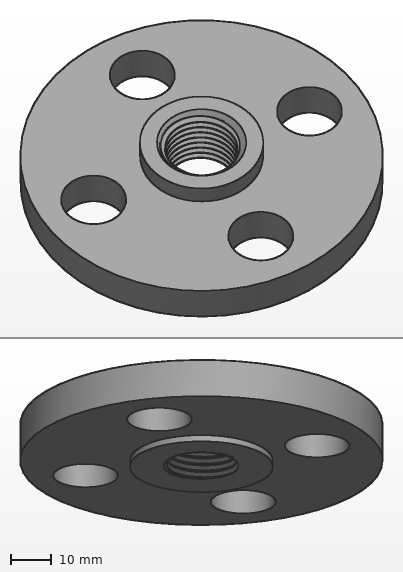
import cadquery as cq
import math

flange_diameter = 88.9
flange_thickness = 9.5
raised_face_diameter = 35.0
raised_face_height = 1.6
hub_diameter = 30.2
hub_height = 4.8
total_height = raised_face_height + flange_thickness + hub_height

bolt_hole_diameter = 15.9
bolt_circle_diameter = 60.4
bolt_count = 4

bore_bottom_diameter = 17.0
taper_on_diameter = 1 / 16
taper_on_radius = taper_on_diameter / 2
pitch = 1.81
groove_depth = 1.3
groove_mouth = 1.6
groove_root = 0.2
groove_lead_in = 2.8
groove_overlap = 0.1

countersink_diameter = 21.9
countersink_depth = 1.9
countersink_bottom_diameter = countersink_diameter - 2 * countersink_depth


def disc(diameter, height, base_z):
    return cq.Workplane("XY", origin=(0, 0, base_z)).circle(diameter / 2).extrude(height)


def bore_radius(z):
    return bore_bottom_diameter / 2 + z * taper_on_radius


def cone(bottom_diameter, top_diameter, bottom_z, top_z):
    return (
        cq.Workplane("XZ")
        .moveTo(0, bottom_z)
        .lineTo(bottom_diameter / 2, bottom_z)
        .lineTo(top_diameter / 2, top_z)
        .lineTo(0, top_z)
        .close()
        .revolve(360, (0, 0, 0), (0, 1, 0))
    )


def thread_groove():
    """Helical V groove that runs out past both ends of the bore."""
    start_z = -groove_lead_in
    start_radius = bore_radius(start_z)
    helix = cq.Wire.makeHelix(
        pitch,
        total_height + groove_lead_in + pitch,
        start_radius,
        center=cq.Vector(0, 0, start_z),
        angle=math.degrees(math.atan(taper_on_radius)),
    )
    inner = start_radius - groove_overlap
    outer = start_radius + groove_depth
    profile = cq.Workplane("XZ").polyline([
        (inner, start_z - groove_mouth / 2),
        (start_radius, start_z - groove_mouth / 2),
        (outer, start_z - groove_root / 2),
        (outer, start_z + groove_root / 2),
        (start_radius, start_z + groove_mouth / 2),
        (inner, start_z + groove_mouth / 2),
    ]).close()
    return profile.sweep(cq.Workplane(obj=helix), isFrenet=True)


flange_top = raised_face_height + flange_thickness
body = disc(raised_face_diameter, raised_face_height, 0)
body = body.union(disc(flange_diameter, flange_thickness, raised_face_height))
body = body.union(disc(hub_diameter, hub_height, flange_top))

bolt_holes = (
    cq.Workplane("XY", origin=(0, 0, raised_face_height))
    .polarArray(bolt_circle_diameter / 2, 0, 360, bolt_count)
    .circle(bolt_hole_diameter / 2)
    .extrude(flange_thickness)
)
body = body.cut(bolt_holes)

bore = cone(bore_bottom_diameter, 2 * bore_radius(total_height), 0, total_height)
countersink = cone(
    countersink_bottom_diameter,
    countersink_diameter,
    total_height - countersink_depth,
    total_height,
)
result = body.cut(countersink).cut(thread_groove()).cut(bore)